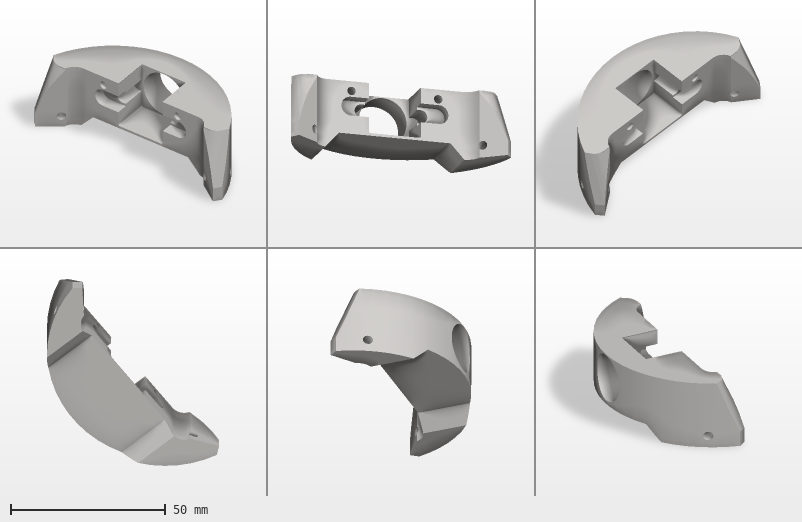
import cadquery as cq
import math

height = 23.0
outer_radius = 38.3
apex_y = 23.0
outer_center_y = apex_y - outer_radius
flat_half_width = 22.8
inner_corner = (27.55, -3.65)
wing_tip = (35.4, -9.25)
wing_outer_x = 37.3

wing_end_height = 5.15
shoulder_x = 34.85
shoulder_bevel = (33.7, -1.2)
shoulder_flat = (30.0, -3.3)
skirt_flat = (31.0, -11.35)
land_height = 0.45
land_half_width = 30.3
land_y = -3.4
trim_back_y = 29.85
overcut = 0.75

relief_height = 5.15
relief_top_half_width = 18.9
relief_bottom_half_width = 23.6

axis_z = 14.55
bore_diameter = 16.1
pocket_depth = 13.0
pocket_width = 17.7
pocket_floor_z = 6.05
pocket_roof_z = 23.2
pocket_corner_radius = 0.7
outer_slot_length = 36.3
outer_slot_height = 6.35
outer_slot_depth = 4.2
inner_slot_length = 24.6
inner_slot_height = 4.55
inner_slot_depth = pocket_depth

pilot_diameter = 2.8
pilot_x = 14.7
pilot_z = 19.7
pilot_depth = 7.5
wing_hole_diameter = 3.0
wing_hole_x = 28.45
wing_hole_z = 4.1


def outer_y(x):
    """Y of the outer cylinder at a given X, on the apex side."""
    return outer_center_y + math.sqrt(outer_radius**2 - x**2)


def mirrored(point):
    return (-point[0], point[1])


def front_plane(z):
    """Plane on the inner flat face, with its normal pointing into the body."""
    return cq.Workplane(cq.Plane(origin=(0, 0, z), xDir=(-1, 0, 0), normal=(0, 1, 0)))


def crescent():
    wing_outer = (wing_outer_x, outer_y(wing_outer_x))
    drop = -inner_corner[1]
    run = inner_corner[0] - flat_half_width
    cove_radius = (run**2 + drop**2) / (2 * drop)
    half_angle = math.asin(run / cove_radius) / 2
    cove_mid = (
        flat_half_width + cove_radius * math.sin(half_angle),
        -cove_radius * (1 - math.cos(half_angle)),
    )
    flat_end = (flat_half_width, 0)
    return (
        cq.Workplane("XY")
        .moveTo(*flat_end)
        .threePointArc(cove_mid, inner_corner)
        .lineTo(*wing_tip)
        .lineTo(*wing_outer)
        .threePointArc((0, apex_y), mirrored(wing_outer))
        .lineTo(*mirrored(wing_tip))
        .lineTo(*mirrored(inner_corner))
        .threePointArc(mirrored(cove_mid), mirrored(flat_end))
        .close()
        .extrude(height)
    )


def trim_section(workplane, shoulder, bevel, flat):
    """Outline kept by the wing taper: flat middle, rounded corners, beveled shoulders."""
    chord_mid = ((bevel[0] + flat[0]) / 2, (bevel[1] + flat[1]) / 2)
    chord_x = bevel[0] - flat[0]
    chord_y = bevel[1] - flat[1]
    radius = (chord_x**2 + chord_y**2) / (2 * chord_y)
    center = (flat[0], flat[1] + radius)
    reach = math.hypot(chord_mid[0] - center[0], chord_mid[1] - center[1])
    arc_mid = (
        center[0] + (chord_mid[0] - center[0]) * radius / reach,
        center[1] + (chord_mid[1] - center[1]) * radius / reach,
    )
    slope = (shoulder[1] - bevel[1]) / (shoulder[0] - bevel[0])
    outside = (shoulder[0] + overcut, shoulder[1] + slope * overcut)
    back = (outside[0], trim_back_y)
    return (
        workplane.moveTo(*mirrored(flat))
        .lineTo(*flat)
        .threePointArc(arc_mid, bevel)
        .lineTo(*outside)
        .lineTo(*back)
        .lineTo(*mirrored(back))
        .lineTo(*mirrored(outside))
        .lineTo(*mirrored(bevel))
        .threePointArc(mirrored(arc_mid), mirrored(flat))
        .close()
    )


def wing_taper():
    wing_outer = (wing_outer_x, outer_y(wing_outer_x))
    shoulder = (shoulder_x, outer_y(shoulder_x))
    low = trim_section(
        cq.Workplane("XY", origin=(0, 0, wing_end_height)), wing_outer, wing_tip, skirt_flat
    )
    both = trim_section(
        low.workplane(offset=height - wing_end_height), shoulder, shoulder_bevel, shoulder_flat
    )
    kept = both.loft(ruled=True)
    size = 4 * outer_radius
    base = cq.Workplane("XY").box(size, size, wing_end_height, centered=(True, True, False))
    land = (
        cq.Workplane("XY", origin=(0, land_y, height - land_height))
        .box(2 * land_half_width, trim_back_y, land_height, centered=(True, False, False))
    )
    return base.union(kept).union(land)


def relief():
    return (
        cq.Workplane("XZ")
        .moveTo(-relief_bottom_half_width, 0)
        .lineTo(-relief_top_half_width, relief_height)
        .lineTo(relief_top_half_width, relief_height)
        .lineTo(relief_bottom_half_width, 0)
        .close()
        .extrude(outer_radius, both=True)
    )


def pocket():
    pocket_height = pocket_roof_z - pocket_floor_z
    section = cq.Sketch().rect(pocket_width, pocket_height).vertices().fillet(pocket_corner_radius)
    center_z = (pocket_roof_z + pocket_floor_z) / 2
    return front_plane(center_z).placeSketch(section).extrude(pocket_depth)


def bore():
    return front_plane(axis_z).circle(bore_diameter / 2).extrude(apex_y + overcut)


def side_slot(length, slot_height, depth):
    return front_plane(axis_z).slot2D(length, slot_height).extrude(depth)


def pilot_holes():
    centers = [(-pilot_x, 0), (pilot_x, 0)]
    return front_plane(pilot_z).pushPoints(centers).circle(pilot_diameter / 2).extrude(pilot_depth)


def wing_hole(side):
    """Through hole square to the slanted inner face of one wing."""
    run = wing_tip[0] - inner_corner[0]
    fall = inner_corner[1] - wing_tip[1]
    face_y = inner_corner[1] - (wing_hole_x - inner_corner[0]) * fall / run
    plane = cq.Plane(
        origin=(side * wing_hole_x, face_y, wing_hole_z),
        xDir=(0, 0, 1),
        normal=(side * fall, run, 0),
    )
    return (
        cq.Workplane(plane)
        .workplane(offset=-overcut)
        .circle(wing_hole_diameter / 2)
        .extrude(outer_radius / 2)
    )


result = crescent().intersect(wing_taper()).cut(relief()).cut(pocket()).cut(bore())
result = result.cut(side_slot(outer_slot_length, outer_slot_height, outer_slot_depth))
result = result.cut(side_slot(inner_slot_length, inner_slot_height, inner_slot_depth))
result = result.cut(pilot_holes())
for side in (-1, 1):
    result = result.cut(wing_hole(side))